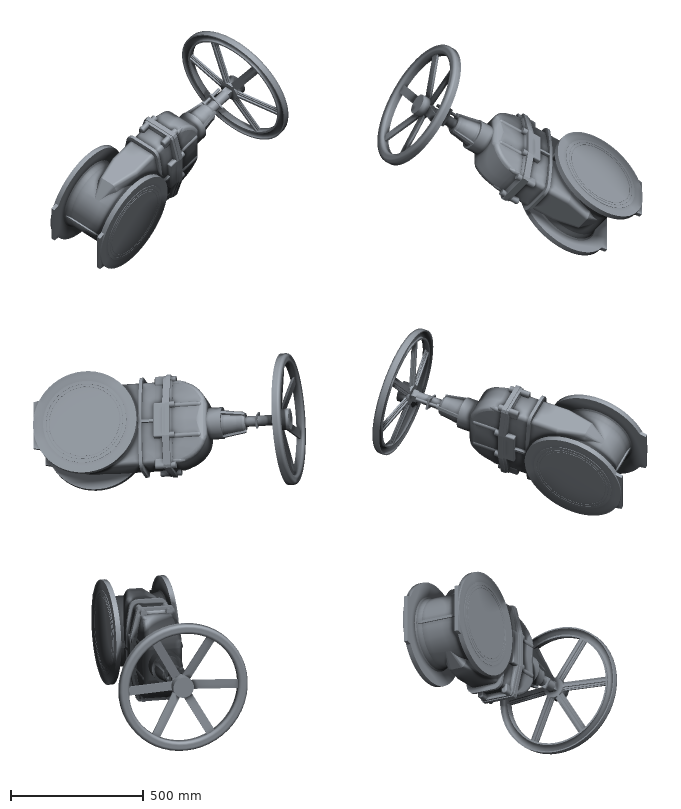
import cadquery as cq
import math


face_to_face = 250.0
raised_face_height = 1.5
raised_face_radius = 161.0
flange_radius = 200.0
flange_back_x = 104.0
flange_front_x = face_to_face / 2 - raised_face_height
face_groove_radii = (137.0, 148.0)
face_groove_width = 3.0
face_groove_depth = 1.0
foot_front_x = 118.0
foot_base_half = 91.0
foot_root_half = 97.0
foot_root_y = -173.0
pipe_radius = 134.0
pipe_straight_half = 78.0
pipe_hub_half = 99.0
pipe_hub_radius = 139.0
pipe_root_radius = 144.0

neck_flat_half = 44.0
neck_top_z = 162.0
neck_corner_radius = 17.0
neck_side_x = 78.0
wedge_start_y = 96.0
wedge_shoulder_y = -10.0
wedge_tip_y = -90.0
wedge_tip_z = 99.0
shoulder_flat_half = 22.0
shoulder_corner_radius = 15.0
shoulder_side_x = 75.0
tip_flat_half = 5.0
tip_corner_radius = 2.0
tip_side_x = 9.0
collar_y = 200.0
collar_thickness = 12.0
collar_flat_half = 42.0
collar_corner_radius = 34.0
rib_thickness = 10.0
rib_side_x = 90.0
bottom_rib_radius = 140.0
eye_x = 90.0
eye_y = 155.0
eye_diameter = 19.0

joint_bottom_y = 293.0
joint_split_y = 303.0
joint_top_y = 321.0
joint_half_x = 99.0
joint_half_z = 184.0
joint_side_half_z = 65.0
joint_corner_x = 73.0
joint_corner_z = 174.0
joint_flat_half = 66.0
joint_step = 3.0
flare = 10.0
flare_edge = 1.0
upper_flare_y = 328.0
lower_flare_y = 289.0
lug_bottom_y = 257.5
side_pad_x = 94.0
side_pad_half_z = 68.0
side_pad_corner_radius = 6.0
side_pad_rim_radius = 4.0
lug_x = 52.0
lug_radius = 11.5
lug_outer_z = 182.0
lug_length = 42.0
lug_rim_radius = 5.0
bolt_boss_top_y = 339.0
bolt_boss_radius = 12.5
end_boss_x = 50.0
end_boss_z = 169.0
side_boss_x = 84.0
side_boss_z = 60.0
side_column_top_y = 440.0
side_column_x = 70.0
end_column_top_y = 374.0
end_column_taper = 20.0
end_column_z = 152.0
column_radius = 10.5
column_tip_radius = 10.0
bonnet_top_y = 459.0
bonnet_top_half_z = 60.0
bonnet_spring_y = 335.0
bonnet_shoulder_y = 420.0
bonnet_top_half_x = 58.0
bonnet_end_half_x = 57.0
bonnet_edge_radius = 16.0
dome_mid_y = 423.0
dome_mid_z = 127.0
shoulder_mid_x = 73.0
shoulder_mid_y = 442.0

gland_radius = 60.5
gland_bottom_y = 420.0
gland_top_y = 511.0
box_top_y = 599.0
box_base_radius = 50.0
box_foot_radius = 48.0
box_foot_y = 516.0
box_waist_radius = 40.0
box_waist_y = 567.0
box_neck_radius = 38.0
box_neck_y = 590.0
box_top_radius = 32.0
box_rib_base_radius = 58.0
box_rib_top_radius = 43.0
box_rib_width = 11.0
box_rib_angles = (30.0, 150.0, 270.0)
stem_radius = 20.0
stem_top_y = 700.0
square_side = 32.5
indicator_y = 639.0
indicator_thickness = 7.0
indicator_rod_reach = 45.5
indicator_back_reach = 27.5
indicator_width = 43.0
rod_x = -26.0
rod_z = 17.0
rod_radius = 6.0
rod_top_y = 696.0
rod_boss_radius = 11.0
rod_boss_height = 9.0

wheel_radius = 250.0
wheel_inner_radius = 213.0
wheel_top_y = 780.0
wheel_bottom_y = 749.0
rim_fillet = 12.0
rim_groove_outer = 245.0
rim_groove_inner = 220.0
rim_groove_depth = 20.0
hub_radius = 40.0
hub_bottom_y = 722.0
hub_top_y = 770.0
spoke_count = 6
spoke_outer_radius = 215.0
spoke_width = 34.0
spoke_core_width = 24.0
spoke_core_drop = 3.0
spoke_outer_y = 751.0
spoke_web_thickness = 10.0
spoke_web_height = 9.0
spoke_plate_thickness = 7.0


def plane_at(y):
    """Plane normal to the stem; local axes are X and Z, material grows along +Y with extrude(-length)."""
    return cq.Workplane("XZ", origin=(0, y, 0))


def post(x, z, radius, y_from, y_to):
    """Round post along Y."""
    return plane_at(y_from).center(x, z).circle(radius).extrude(y_from - y_to)


def box_between(x_range, y_range, z_range):
    """Box given by its two limits on each axis."""
    size = [high - low for low, high in (x_range, y_range, z_range)]
    corner = (x_range[0], y_range[0], z_range[0])
    return cq.Workplane("XY").box(*size, centered=False).translate(corner)


def mirrored_corners(x, z):
    """The four points (+-x, +-z)."""
    return [(sx * x, sz * z) for sx in (1, -1) for sz in (1, -1)]


def oblong(y, flat_half, top_z, corner_radius, side_x):
    """Oblong outline: flat ends, rounded corners and bowed sides tangent to the corners."""
    corner_center_z = top_z - corner_radius
    inner_x = side_x - corner_radius
    bow_x = (inner_x**2 - flat_half**2 - corner_center_z**2) / (2 * (inner_x - flat_half))
    angle = math.atan2(corner_center_z, flat_half - bow_x)
    end_x = flat_half + corner_radius * math.cos(angle)
    end_z = corner_center_z + corner_radius * math.sin(angle)
    middle = (angle + math.pi / 2) / 2
    mid_x = flat_half + corner_radius * math.cos(middle)
    mid_z = corner_center_z + corner_radius * math.sin(middle)
    return (
        plane_at(y)
        .moveTo(-flat_half, top_z)
        .lineTo(flat_half, top_z)
        .threePointArc((mid_x, mid_z), (end_x, end_z))
        .threePointArc((side_x, 0), (end_x, -end_z))
        .threePointArc((mid_x, -mid_z), (flat_half, -top_z))
        .lineTo(-flat_half, -top_z)
        .threePointArc((-mid_x, -mid_z), (-end_x, -end_z))
        .threePointArc((-side_x, 0), (-end_x, end_z))
        .threePointArc((-mid_x, mid_z), (-flat_half, top_z))
        .close()
    )


def neck_outline(y, growth=0.0):
    """Neck section, optionally grown outward by a constant amount."""
    return oblong(
        y,
        neck_flat_half,
        neck_top_z + growth,
        neck_corner_radius + growth,
        neck_side_x + growth,
    )


def ruled_between(first, second):
    """Solid with straight sides between two outlines."""
    wires = [outline.wires().val() for outline in (first, second)]
    return cq.Workplane(cq.Solid.makeLoft(wires, True))


def make_pipe():
    """Solid flow pipe, thickening toward each flange."""
    half = [
        (pipe_straight_half, pipe_radius),
        (pipe_hub_half, pipe_hub_radius),
        (flange_back_x, pipe_root_radius),
    ]
    left = [(-x, radius) for x, radius in reversed(half)]
    profile = [(-flange_back_x, 0)] + left + half + [(flange_back_x, 0)]
    return cq.Workplane("XY").polyline(profile).close().revolve(360, (0, 0, 0), (1, 0, 0))


def make_flange():
    """Flange on the +X end with raised face, face grooves and a standing foot."""
    disc_plane = cq.Workplane("YZ", origin=(flange_back_x, 0, 0))
    flange = disc_plane.circle(flange_radius).extrude(flange_front_x - flange_back_x)
    flange = flange.union(disc_plane.circle(raised_face_radius).extrude(face_to_face / 2 - flange_back_x))
    foot_outline = [
        (foot_root_y, foot_root_half),
        (-flange_radius, foot_base_half),
        (-flange_radius, -foot_base_half),
        (foot_root_y, -foot_root_half),
    ]
    flange = flange.union(disc_plane.polyline(foot_outline).close().extrude(foot_front_x - flange_back_x))
    face_plane = cq.Workplane("YZ", origin=(face_to_face / 2, 0, 0))
    for radius in face_groove_radii:
        ring = face_plane.circle(radius + face_groove_width / 2).circle(radius - face_groove_width / 2)
        flange = flange.cut(ring.extrude(-face_groove_depth))
    return flange


def make_neck():
    """Body neck, narrowing over the pipe to a pointed tip."""
    neck = neck_outline(wedge_start_y).extrude(wedge_start_y - joint_split_y)
    shoulder = (wedge_shoulder_y, shoulder_flat_half, neck_top_z, shoulder_corner_radius, shoulder_side_x)
    tip = (wedge_tip_y, tip_flat_half, wedge_tip_z, tip_corner_radius, tip_side_x)
    neck = neck.union(ruled_between(neck_outline(wedge_start_y), oblong(*shoulder)))
    return neck.union(ruled_between(oblong(*shoulder), oblong(*tip)))


def make_collar():
    """Stiffening collar around the neck."""
    collar = oblong(collar_y, collar_flat_half, joint_half_z, collar_corner_radius, rib_side_x)
    return collar.extrude(-collar_thickness)


def make_ribs():
    """Mid-plane webs: lifting-eye plates, side ribs up to the joint and the rib under the pipe."""
    half = rib_thickness / 2
    thickness = (-half, half)
    plates = box_between((-flange_back_x, flange_back_x), (0, flange_radius), thickness)
    for side in (1, -1):
        eye = cq.Workplane("XY").center(side * eye_x, eye_y).circle(eye_diameter / 2)
        plates = plates.cut(eye.extrude(half, both=True))
    side_rib = box_between((-rib_side_x, rib_side_x), (flange_radius, joint_bottom_y), thickness)
    bottom_rib = box_between((-flange_back_x, flange_back_x), (-bottom_rib_radius, 0), thickness)
    return plates.union(side_rib).union(bottom_rib)


def joint_outline(y, inset):
    points = [
        (joint_flat_half - inset, joint_half_z - inset),
        (joint_corner_x - inset, joint_corner_z - inset),
        (joint_half_x - inset, joint_side_half_z - inset),
    ]
    right = points + [(x, -z) for x, z in reversed(points)]
    left = [(-x, -z) for x, z in right]
    return plane_at(y).polyline(right + left).close()


def make_joint():
    """Bolted joint between body and bonnet with its lugs and bosses."""
    joint = joint_outline(joint_split_y, 0).extrude(joint_split_y - joint_top_y)
    joint = joint.union(joint_outline(joint_bottom_y, joint_step).extrude(joint_bottom_y - joint_split_y))
    upper = ruled_between(neck_outline(joint_top_y, flare), neck_outline(upper_flare_y, flare_edge))
    lower = ruled_between(neck_outline(lower_flare_y, flare_edge), neck_outline(joint_bottom_y, flare))
    joint = joint.union(upper).union(lower)
    pads = box_between(
        (-side_pad_x, side_pad_x),
        (lug_bottom_y, joint_bottom_y),
        (-side_pad_half_z, side_pad_half_z),
    )
    pads = pads.edges("|Y").fillet(side_pad_corner_radius)
    pads = pads.faces("<Y").edges().fillet(side_pad_rim_radius)
    joint = joint.union(pads)
    for x, z in mirrored_corners(lug_x, lug_outer_z - lug_length / 2):
        lug = plane_at(lug_bottom_y).center(x, z).slot2D(lug_length, 2 * lug_radius, 90)
        lug = lug.extrude(lug_bottom_y - joint_bottom_y).faces("<Y").edges().fillet(lug_rim_radius)
        joint = joint.union(lug)
    for x, z in mirrored_corners(end_boss_x, end_boss_z) + mirrored_corners(side_boss_x, side_boss_z):
        joint = joint.union(post(x, z, bolt_boss_radius, joint_top_y, bolt_boss_top_y))
    return joint


def make_bonnet():
    """Domed bonnet: bowed sides trimmed by a dome outline and rounded shoulders, edges rolled over."""
    section = (
        plane_at(joint_top_y)
        .moveTo(-bonnet_end_half_x, neck_top_z)
        .lineTo(bonnet_end_half_x, neck_top_z)
        .threePointArc((neck_side_x, 0), (bonnet_end_half_x, -neck_top_z))
        .lineTo(-bonnet_end_half_x, -neck_top_z)
        .threePointArc((-neck_side_x, 0), (-bonnet_end_half_x, neck_top_z))
        .close()
        .extrude(joint_top_y - bonnet_top_y)
    )
    dome = (
        cq.Workplane("YZ")
        .moveTo(joint_top_y, -neck_top_z)
        .lineTo(bonnet_spring_y, -neck_top_z)
        .threePointArc((dome_mid_y, -dome_mid_z), (bonnet_top_y, -bonnet_top_half_z))
        .lineTo(bonnet_top_y, bonnet_top_half_z)
        .threePointArc((dome_mid_y, dome_mid_z), (bonnet_spring_y, neck_top_z))
        .lineTo(joint_top_y, neck_top_z)
        .close()
        .extrude(neck_side_x, both=True)
    )
    shoulders = (
        cq.Workplane("XY")
        .moveTo(-neck_side_x, joint_top_y)
        .lineTo(-neck_side_x, bonnet_shoulder_y)
        .threePointArc((-shoulder_mid_x, shoulder_mid_y), (-bonnet_top_half_x, bonnet_top_y))
        .lineTo(bonnet_top_half_x, bonnet_top_y)
        .threePointArc((shoulder_mid_x, shoulder_mid_y), (neck_side_x, bonnet_shoulder_y))
        .lineTo(neck_side_x, joint_top_y)
        .close()
        .extrude(neck_top_z, both=True)
    )
    bonnet = section.intersect(dome).intersect(shoulders)
    bonnet = bonnet.edges("not <Y").fillet(bonnet_edge_radius)
    for x, z in mirrored_corners(side_column_x, side_boss_z):
        column = post(x, z, column_radius, joint_top_y, side_column_top_y)
        bonnet = bonnet.union(column.faces(">Y").edges().fillet(column_tip_radius))
    for x, z in mirrored_corners(end_boss_x, end_column_z):
        column = post(x, z, column_radius, joint_top_y, end_column_top_y)
        bonnet = bonnet.union(column.faces(">Y").chamfer(end_column_taper, column_radius / 2))
    return bonnet


def make_stuffing_box():
    """Gland ring and ribbed conical stuffing box."""
    profile = [
        (0, gland_bottom_y),
        (gland_radius, gland_bottom_y),
        (gland_radius, gland_top_y),
        (box_base_radius, gland_top_y),
        (box_foot_radius, box_foot_y),
        (box_waist_radius, box_waist_y),
        (box_neck_radius, box_neck_y),
        (box_top_radius, box_top_y),
        (0, box_top_y),
    ]
    box = cq.Workplane("XY").polyline(profile).close().revolve(360, (0, 0, 0), (0, 1, 0))
    rib_outline = [
        (0, gland_top_y),
        (box_rib_base_radius, gland_top_y),
        (box_rib_top_radius, box_top_y),
        (0, box_top_y),
    ]
    rib = cq.Workplane("XY").polyline(rib_outline).close().extrude(box_rib_width / 2, both=True)
    for angle in box_rib_angles:
        box = box.union(rib.rotate((0, 0, 0), (0, 1, 0), -angle))
    return box


def make_stem():
    """Stem with its square drive end, position indicator plate and indicator rod."""
    stem = post(0, 0, stem_radius, box_top_y, stem_top_y)
    square = plane_at(stem_top_y).rect(square_side, square_side).extrude(stem_top_y - hub_top_y)
    rod_angle = math.degrees(math.atan2(rod_z, rod_x))
    plate_center = (indicator_rod_reach - indicator_back_reach) / 2
    plate = plane_at(indicator_y).center(plate_center, 0)
    plate = plate.rect(indicator_rod_reach + indicator_back_reach, indicator_width)
    plate = plate.extrude(-indicator_thickness).rotate((0, 0, 0), (0, 1, 0), -rod_angle)
    rod = post(rod_x, rod_z, rod_radius, box_top_y, rod_top_y)
    rod_boss = post(rod_x, rod_z, rod_boss_radius, box_top_y, box_top_y + rod_boss_height)
    return stem.union(square).union(plate).union(rod).union(rod_boss)


def make_rim():
    """Handwheel rim: rounded on top, hollowed by a groove underneath."""
    groove_middle = (rim_groove_outer + rim_groove_inner) / 2
    rim = (
        cq.Workplane("XY")
        .moveTo(wheel_inner_radius, wheel_bottom_y)
        .lineTo(rim_groove_inner, wheel_bottom_y)
        .threePointArc((groove_middle, wheel_bottom_y + rim_groove_depth), (rim_groove_outer, wheel_bottom_y))
        .lineTo(wheel_radius, wheel_bottom_y)
        .lineTo(wheel_radius, wheel_top_y)
        .lineTo(wheel_inner_radius, wheel_top_y)
        .close()
        .revolve(360, (0, 0, 0), (0, 1, 0))
    )
    return rim.faces(">Y").edges().fillet(rim_fillet)


def sloped_band(bottom_offset, top_offset, width):
    """Bar along +X that climbs from the hub toward the rim, offset above the spoke's lower line."""
    rise = spoke_outer_y - hub_bottom_y
    outline = [
        (0, hub_bottom_y + bottom_offset),
        (hub_radius, hub_bottom_y + bottom_offset),
        (spoke_outer_radius, hub_bottom_y + rise + bottom_offset),
        (spoke_outer_radius, hub_bottom_y + rise + top_offset),
        (hub_radius, hub_bottom_y + top_offset),
        (0, hub_bottom_y + top_offset),
    ]
    return cq.Workplane("XY").polyline(outline).close().extrude(width / 2, both=True)


def make_spoke():
    """One spoke along +X: a wide plate stiffened by a narrow web beneath it."""
    plate_top = spoke_web_height + spoke_plate_thickness
    lip = sloped_band(spoke_web_height, plate_top, spoke_width)
    core = sloped_band(spoke_web_height - spoke_core_drop, plate_top, spoke_core_width)
    web = sloped_band(0, plate_top, spoke_web_thickness)
    return lip.union(core).union(web)


def make_handwheel():
    wheel = make_rim().union(post(0, 0, hub_radius, hub_bottom_y, hub_top_y))
    spoke = make_spoke()
    for index in range(spoke_count):
        wheel = wheel.union(spoke.rotate((0, 0, 0), (0, 1, 0), index * 360.0 / spoke_count))
    return wheel


flange = make_flange()
result = make_pipe().union(flange).union(flange.mirror("YZ"))
for feature in (
    make_neck(),
    make_collar(),
    make_ribs(),
    make_joint(),
    make_bonnet(),
    make_stuffing_box(),
    make_stem(),
    make_handwheel(),
):
    result = result.union(feature)